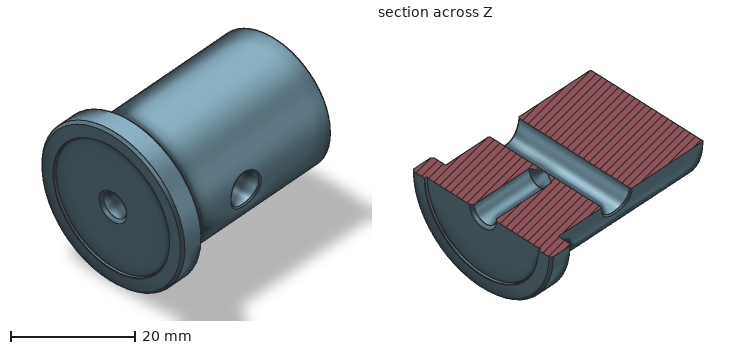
import cadquery as cq
import math

total_length = 38.1
shank_diameter = 25.5
shank_end_chamfer = 0.2

head_diameter = 31.5
head_thickness = 4.8
head_chamfer = 0.5

shank_setback = 0.4
bore_rim_chamfer = 0.1

axial_hole_diameter = 5.0
axial_hole_mouth_diameter = 6.1
axial_hole_depth = 15.0
drill_point_angle = 118.0

cross_hole_diameter = 6.5
cross_hole_chamfer = 0.3
cross_hole_from_shank_end = 20.0


def revolve_about_y(profile_points):
    """Turn an (X = radius, Y = axial position) outline about the Y axis."""
    return cq.Workplane("XY").polyline(profile_points).close().revolve(360, (0, 0, 0), (0, 1, 0))


def make_body():
    head_radius = head_diameter / 2
    shank_radius = shank_diameter / 2
    return revolve_about_y([
        (0, 0),
        (head_radius - head_chamfer, 0),
        (head_radius, head_chamfer),
        (head_radius, head_thickness - head_chamfer),
        (head_radius - head_chamfer, head_thickness),
        (shank_radius, head_thickness),
        (shank_radius, total_length - shank_end_chamfer),
        (shank_radius - shank_end_chamfer, total_length),
        (0, total_length),
    ])


def make_recess():
    """Space in the head bore in front of the chamfered shank end."""
    radius = shank_diameter / 2
    return revolve_about_y([
        (0, 0),
        (radius + bore_rim_chamfer, 0),
        (radius, bore_rim_chamfer),
        (radius, shank_setback + shank_end_chamfer),
        (radius - shank_end_chamfer, shank_setback),
        (0, shank_setback),
    ])


def make_axial_hole():
    radius = axial_hole_diameter / 2
    mouth_radius = axial_hole_mouth_diameter / 2
    mouth_depth = mouth_radius - radius
    point_height = radius / math.tan(math.radians(drill_point_angle / 2))
    return revolve_about_y([
        (0, 0),
        (mouth_radius, 0),
        (mouth_radius, shank_setback),
        (radius, shank_setback + mouth_depth),
        (radius, axial_hole_depth - point_height),
        (0, axial_hole_depth),
    ])


def drill_cross_hole(body):
    """Through hole along X, with its saddle-shaped rims chamfered."""
    axis_y = total_length - cross_hole_from_shank_end
    drill = (
        cq.Workplane("YZ")
        .center(axis_y, 0)
        .circle(cross_hole_diameter / 2)
        .extrude(shank_diameter, both=True)
    )
    reach = shank_diameter
    rim_zone = cq.selectors.BoxSelector(
        (-reach, axis_y - cross_hole_diameter, -cross_hole_diameter),
        (reach, axis_y + cross_hole_diameter, cross_hole_diameter),
    )
    return body.cut(drill).edges(rim_zone).edges("not %LINE").chamfer(cross_hole_chamfer)


result = drill_cross_hole(make_body()).cut(make_recess()).cut(make_axial_hole())